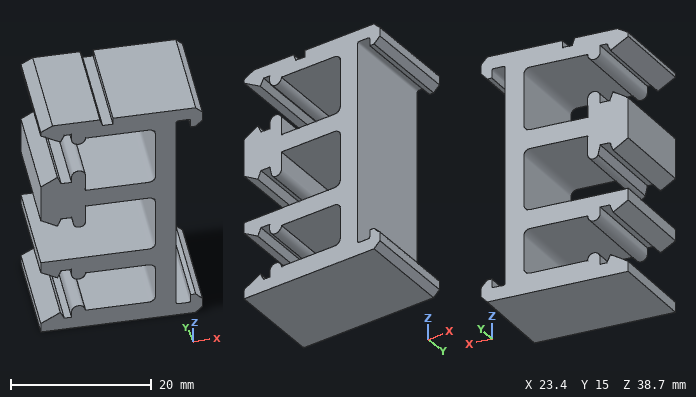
import cadquery as cq

width = 23.4
depth = 15.0
height = 38.7

web_left = 16.6
web_thickness = 2.98
web_right = web_left + web_thickness
web_fillet = 1.0
hook_fillet = 0.3

outer_arm_thickness = 3.1
inner_arm_thickness = 2.98
upper_arm_top = 25.75
upper_arm_bottom = upper_arm_top - inner_arm_thickness
lower_arm_top = 13.1
lower_arm_bottom = lower_arm_top - inner_arm_thickness

bead_radius = 1.0
bead_center = 5.45
bead_left = bead_center - bead_radius
bead_right = bead_center + bead_radius

outer_lip_start = 1.63
outer_lip_tip_x = 2.83
outer_lip_tip = 3.25
outer_slot_x = 3.4
outer_slot_floor = 2.1

inner_lip_tip_x = 2.4
inner_slot_x = 2.95
lower_lip_start = 11.25
lower_lip_tip = 9.85
lower_slot_floor = 11.1

head_middle = (upper_arm_top + upper_arm_bottom) / 2
head_half_height = 3.17
head_tip_offset = 4.6
head_slot_offset = 3.33
head_bead_offset = 4.3
leaning_bead_x = 4.8
leaning_bead_z = 19.4
leaning_bead_bottom = head_middle - head_bead_offset - bead_radius

hook_left = 21.67
hook_depth = 3.52
hook_chamfer = 1.0

nose_length = 1.7
nose_drop = 0.95
groove_left = 8.55
groove_floor_left = 8.95
groove_right = 10.45
groove_depth = 1.12


def extrude(outline):
    """Close an XZ outline and extrude it along +Y."""
    return outline.close().extrude(-depth)


def polygon(points):
    return extrude(cq.Workplane("XZ").polyline(points))


def outer_arm():
    """Bottom arm with its lip, bead and hook."""
    return extrude(
        cq.Workplane("XZ")
        .moveTo(0, 0)
        .lineTo(width - hook_chamfer, 0)
        .lineTo(width, hook_chamfer)
        .lineTo(width, hook_depth - hook_chamfer)
        .lineTo(width - hook_chamfer, hook_depth)
        .lineTo(hook_left, hook_depth)
        .lineTo(hook_left, outer_slot_floor)
        .lineTo(web_right, outer_slot_floor)
        .lineTo(web_right, outer_arm_thickness)
        .lineTo(bead_right, outer_arm_thickness)
        .threePointArc(
            (bead_center, outer_arm_thickness + bead_radius),
            (bead_left, outer_arm_thickness),
        )
        .lineTo(bead_left, outer_slot_floor)
        .lineTo(outer_slot_x, outer_slot_floor)
        .lineTo(outer_lip_tip_x, outer_lip_tip)
        .lineTo(0, outer_lip_start)
    )


def top_arm():
    """Mirrored bottom arm, with a bevelled nose and a groove in its top face."""
    arm = outer_arm().mirror("XY", (0, 0, height / 2))
    nose = polygon([(0, height), (nose_length, height), (0, height - nose_drop)])
    groove = polygon([
        (groove_left, height),
        (groove_floor_left, height - groove_depth),
        (groove_right, height - groove_depth),
        (groove_right, height),
    ])
    return arm.cut(nose).cut(groove)


def lower_arm():
    """Flat-topped inner arm with a lip and bead underneath."""
    return extrude(
        cq.Workplane("XZ")
        .moveTo(0, lower_arm_top)
        .lineTo(0, lower_lip_start)
        .lineTo(inner_lip_tip_x, lower_lip_tip)
        .lineTo(inner_slot_x, lower_slot_floor)
        .lineTo(bead_left, lower_slot_floor)
        .lineTo(bead_left, lower_arm_bottom)
        .threePointArc(
            (bead_center, lower_arm_bottom - bead_radius),
            (bead_right, lower_arm_bottom),
        )
        .lineTo(web_right, lower_arm_bottom)
        .lineTo(web_right, lower_arm_top)
    )


def upper_arm():
    """Inner arm whose head has lips and beads above and below."""
    bead_top_start = head_middle + head_bead_offset
    bead_bottom_start = head_middle - head_bead_offset
    return extrude(
        cq.Workplane("XZ")
        .moveTo(0, head_middle - head_half_height)
        .lineTo(0, head_middle + head_half_height)
        .lineTo(inner_lip_tip_x, head_middle + head_tip_offset)
        .lineTo(inner_slot_x, head_middle + head_slot_offset)
        .lineTo(bead_left, head_middle + head_slot_offset)
        .lineTo(bead_left, bead_top_start)
        .threePointArc(
            (bead_center, bead_top_start + bead_radius),
            (bead_right, bead_top_start),
        )
        .lineTo(bead_right, upper_arm_top)
        .lineTo(web_right, upper_arm_top)
        .lineTo(web_right, upper_arm_bottom)
        .lineTo(bead_right, upper_arm_bottom)
        .lineTo(bead_right, bead_bottom_start)
        .threePointArc(
            (bead_center, leaning_bead_bottom),
            (leaning_bead_x, leaning_bead_z),
        )
        .lineTo(bead_left, head_middle - head_slot_offset)
        .lineTo(inner_slot_x, head_middle - head_slot_offset)
        .lineTo(inner_lip_tip_x, head_middle - head_tip_offset)
    )


def fillet_corners(body, corners, radius):
    """Round the Y edges that pass through the given XZ corners."""
    reach = 0.05
    for x, z in corners:
        box = cq.selectors.BoxSelector(
            (x - reach, 0, z - reach), (x + reach, depth, z + reach)
        )
        body = body.edges("|Y").edges(box).fillet(radius)
    return body


web = polygon([(web_left, 0), (web_right, 0), (web_right, height), (web_left, height)])
result = web.union(outer_arm()).union(top_arm()).union(lower_arm()).union(upper_arm()).clean()

pocket_levels = [
    outer_arm_thickness,
    lower_arm_bottom,
    lower_arm_top,
    upper_arm_bottom,
    upper_arm_top,
    height - outer_arm_thickness,
]
result = fillet_corners(result, [(web_left, z) for z in pocket_levels], web_fillet)

hook_corners = [
    (x, z)
    for x in (web_right, hook_left)
    for z in (outer_slot_floor, height - outer_slot_floor)
]
result = fillet_corners(result, hook_corners, hook_fillet)